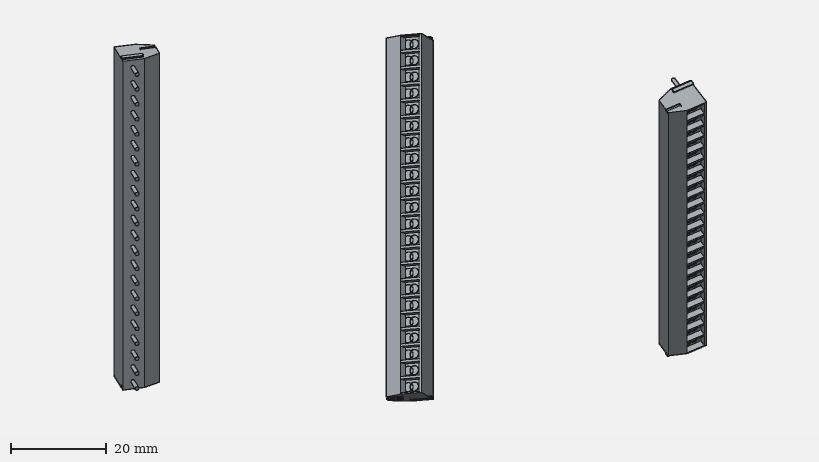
import cadquery as cq
import math

total_length = 77.95
poles = 22

key_height = 0.5
key_tip_width = 1.0
key_neck_width = 0.55
key_lip_height = 0.2
front_key_x = 5.9
rear_key_x = 2.2
rear_key_length = 3.35

body_length = total_length - 2 * key_height
pitch = body_length / poles
body_width = 6.9
body_height = 8.4
shoulder_y = 4.7
crown_start_x = 1.4
crown_end_x = 5.4

pin_diameter = 0.85
pin_length = 3.35
pin_y = 2.2

opening_height = 3.0
opening_depth = 1.5
opening_start_y = 0.55
opening_taper = 0.5
hole_diameter = 1.95
wire_hole_y = 2.25
release_hole_y = 3.6
wire_hole_depth = 0.3
release_hole_depth = 0.15
overlap_depth = wire_hole_depth + release_hole_depth

top_z = body_length / 2
bottom_z = -top_z
floor_end_y = shoulder_y - opening_taper
rear_key_start_y = body_height - rear_key_length


def make_body():
    """Plain bar without keys, slots, pins or openings."""
    outline = [
        (0, 0),
        (body_width, 0),
        (body_width, shoulder_y),
        (crown_end_x, body_height),
        (crown_start_x, body_height),
        (0, shoulder_y),
    ]
    return cq.Workplane("XY").workplane(offset=bottom_z).polyline(outline).close().extrude(body_length)


def make_key(center_x, start_y, end_y, neck_z, tip_z):
    """Dovetail bar along Y that flares from neck_z to a straight-sided lip at tip_z."""
    lip_z = tip_z - math.copysign(key_lip_height, tip_z - neck_z)
    half_neck = key_neck_width / 2
    half_tip = key_tip_width / 2
    outline = [
        (center_x - half_neck, neck_z),
        (center_x + half_neck, neck_z),
        (center_x + half_tip, lip_z),
        (center_x + half_tip, tip_z),
        (center_x - half_tip, tip_z),
        (center_x - half_tip, lip_z),
    ]
    return cq.Workplane("XZ", origin=(0, start_y, 0)).polyline(outline).close().extrude(start_y - end_y)


def make_hole(y, z, depth):
    """Round hole sunk into the floor of a wire opening."""
    return cq.Workplane("YZ", origin=(opening_depth, y, z)).circle(hole_diameter / 2).extrude(depth)


def make_opening(z):
    """Wire opening with one tapered wall and two overlapping round recesses in its floor."""
    outline = [
        (0, opening_start_y),
        (opening_depth, opening_start_y),
        (opening_depth, floor_end_y),
        (0, shoulder_y),
    ]
    funnel = (
        cq.Workplane("XY")
        .workplane(offset=z - opening_height / 2)
        .polyline(outline)
        .close()
        .extrude(opening_height)
    )
    floor_limit = cq.Workplane("XY", origin=(opening_depth, 0, z)).box(
        overlap_depth, floor_end_y, opening_height, centered=(False, False, True)
    )
    wire_hole = make_hole(wire_hole_y, z, wire_hole_depth)
    release_hole = make_hole(release_hole_y, z, release_hole_depth)
    overlap = make_hole(wire_hole_y, z, overlap_depth).intersect(make_hole(release_hole_y, z, overlap_depth))
    return funnel.union(wire_hole).union(release_hole.intersect(floor_limit)).union(overlap)


def make_pin(z):
    """Round solder pin standing out of the +X face."""
    return cq.Workplane("YZ", origin=(body_width, pin_y, z)).circle(pin_diameter / 2).extrude(pin_length)


result = make_body()

result = result.cut(make_key(rear_key_x, rear_key_start_y, body_height, top_z, top_z - key_height))
result = result.cut(make_key(front_key_x, 0, shoulder_y, bottom_z, bottom_z + key_height))
result = result.union(make_key(front_key_x, 0, shoulder_y, top_z, top_z + key_height))
result = result.union(make_key(rear_key_x, rear_key_start_y, body_height, bottom_z, bottom_z - key_height))

for pole in range(poles):
    pole_z = bottom_z + (pole + 0.5) * pitch
    result = result.cut(make_opening(pole_z)).union(make_pin(pole_z))